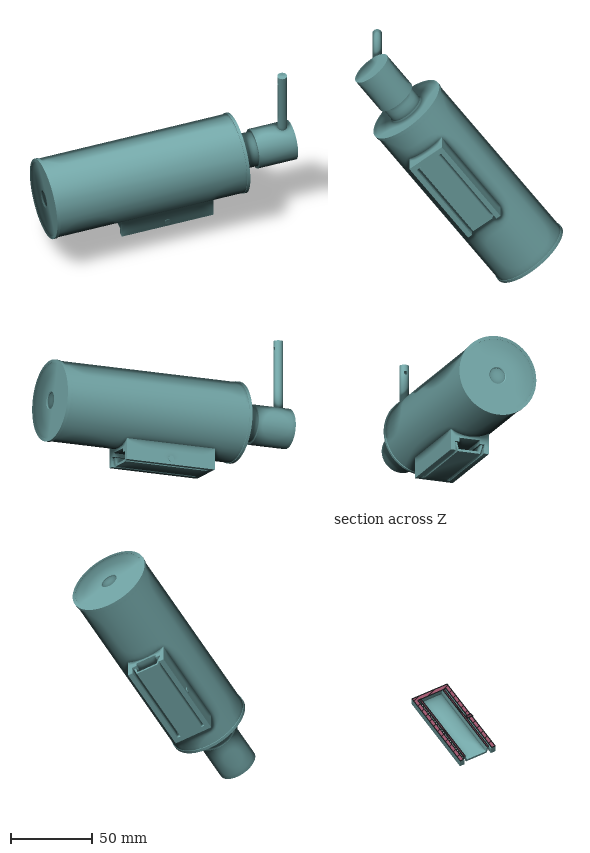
import cadquery as cq

TOTAL_LENGTH = 161.8
TUBE_DIAMETER = 50.0
CAP_DIAMETER = 51.0
CAP_THICKNESS = 2.0
BOTTLE_LENGTH = 126.0

RIM_WIDTH = 2.0
FACE_SINK = 0.2
DIMPLE_DIAMETER = 10.0
DIMPLE_DEPTH = 1.0
DIMPLE_CHAMFER = 0.5

NECK_DIAMETER = 21.8
FOOT_CHAMFER = 0.8
KNOB_DIAMETER = 25.1
KNOB_LENGTH = 25.1
LEVER_DIAMETER = 6.0
LEVER_TOP = 55.0
LEVER_SETBACK = 6.0
LEVER_SOCKET_DEPTH = 4.9
LEVER_HOLE_DIAMETER = 2.5
LEVER_HOLE_DROP = 5.2

BRACKET_WIDTH = 25.1
BRACKET_BOTTOM = -35.0
BRACKET_START = 46.6
BRACKET_LENGTH = 59.9
BRACKET_END_WALL = 3.2
CHANNEL_SHOULDER_WIDTH = 19.7
CHANNEL_MOUTH_WIDTH = 18.8
CHANNEL_SHOULDER_Z = BRACKET_BOTTOM + 5.8
CHANNEL_STEP_Z = BRACKET_BOTTOM + 3.9
SLOT_WIDTH = 13.5
SLOT_HEIGHT = 2.5

PLATE_SETBACK = 1.6
PLATE_TOP_WIDTH = 18.5
PLATE_BOTTOM_WIDTH = 14.5
TROUGH_TOP_WIDTH = 15.7
TROUGH_BOTTOM_WIDTH = SLOT_WIDTH
PLATE_FLOOR = 1.5

SCREW_DIAMETER = 3.7
SCREW_RISE = 3.5
SCREW_OVERHANG = 0.5

KNOB_START = TOTAL_LENGTH - KNOB_LENGTH
LEVER_Y = TOTAL_LENGTH - LEVER_SETBACK
LEVER_BOTTOM = KNOB_DIAMETER / 2 - LEVER_SOCKET_DEPTH
CHANNEL_LENGTH = BRACKET_LENGTH - BRACKET_END_WALL
PLATE_LENGTH = CHANNEL_LENGTH - PLATE_SETBACK


def y_cylinder(diameter, start, length):
    """Cylinder on the bottle axis that runs from start towards +Y."""
    plane = cq.Workplane("XZ", origin=(0, start, 0))
    return plane.circle(diameter / 2).extrude(-length)


def y_cone(start_diameter, end_diameter, start, length):
    """Truncated cone on the bottle axis that runs from start towards +Y."""
    solid = cq.Solid.makeCone(
        start_diameter / 2, end_diameter / 2, length, cq.Vector(0, start, 0), cq.Vector(0, 1, 0)
    )
    return cq.Workplane(obj=solid)


def y_prism(half_outline, start, length):
    """Prism along +Y; its outline mirrors a list of (half width, z) points."""
    mirrored = [(-x, z) for x, z in reversed(half_outline)]
    plane = cq.Workplane("XZ", origin=(0, start, 0))
    return plane.polyline(half_outline + mirrored).close().extrude(-length)


def make_tube():
    return y_cylinder(TUBE_DIAMETER, CAP_THICKNESS, BOTTLE_LENGTH - 2 * CAP_THICKNESS)


def make_front_cap():
    """Disc with a raised rim and a chamfered blind dimple in its middle."""
    cap = y_cylinder(CAP_DIAMETER, 0, CAP_THICKNESS)
    cap = cap.cut(y_cylinder(CAP_DIAMETER - 2 * RIM_WIDTH, 0, FACE_SINK))
    dimple = y_cylinder(DIMPLE_DIAMETER, FACE_SINK, DIMPLE_DEPTH)
    mouth = y_cone(DIMPLE_DIAMETER + 2 * DIMPLE_CHAMFER, DIMPLE_DIAMETER, FACE_SINK, DIMPLE_CHAMFER)
    return cap.cut(dimple).cut(mouth)


def make_rear_cap():
    """Rear cap with the pump neck, which has a conical foot."""
    neck_start = BOTTLE_LENGTH
    cap = y_cylinder(CAP_DIAMETER, neck_start - CAP_THICKNESS, CAP_THICKNESS)
    neck = y_cylinder(NECK_DIAMETER, neck_start, KNOB_START - neck_start)
    foot = y_cone(NECK_DIAMETER + 2 * FOOT_CHAMFER, NECK_DIAMETER, neck_start, FOOT_CHAMFER)
    return cap.union(neck).union(foot)


def make_lever():
    """Upright rod with a small blind cross hole that ends at the rod axis."""
    plane = cq.Workplane("XY", origin=(0, LEVER_Y, LEVER_BOTTOM))
    rod = plane.circle(LEVER_DIAMETER / 2).extrude(LEVER_TOP - LEVER_BOTTOM)
    hole_plane = cq.Workplane("XZ", origin=(0, LEVER_Y, LEVER_TOP - LEVER_HOLE_DROP))
    return rod.cut(hole_plane.circle(LEVER_HOLE_DIAMETER / 2).extrude(LEVER_DIAMETER))


def make_knob(lever):
    """Pump knob with a socket for the lever."""
    return y_cylinder(KNOB_DIAMETER, KNOB_START, KNOB_LENGTH).cut(lever)


def make_screw():
    start = CHANNEL_MOUTH_WIDTH / 2
    screw_y = BRACKET_START + BRACKET_LENGTH / 2
    plane = cq.Workplane("YZ", origin=(start, screw_y, BRACKET_BOTTOM + SCREW_RISE))
    return plane.circle(SCREW_DIAMETER / 2).extrude(BRACKET_WIDTH / 2 + SCREW_OVERHANG - start)


def make_bracket(tube, screw):
    """Block that cradles the tube, with a stepped channel and a screw hole."""
    block_outline = [(BRACKET_WIDTH / 2, BRACKET_BOTTOM), (BRACKET_WIDTH / 2, -TUBE_DIAMETER / 4)]
    channel_outline = [
        (CHANNEL_MOUTH_WIDTH / 2, BRACKET_BOTTOM),
        (CHANNEL_MOUTH_WIDTH / 2, CHANNEL_STEP_Z),
        (CHANNEL_SHOULDER_WIDTH / 2, CHANNEL_STEP_Z),
        (CHANNEL_SHOULDER_WIDTH / 2, CHANNEL_SHOULDER_Z),
        (SLOT_WIDTH / 2, CHANNEL_SHOULDER_Z),
        (SLOT_WIDTH / 2, CHANNEL_SHOULDER_Z + SLOT_HEIGHT),
    ]
    block = y_prism(block_outline, BRACKET_START, BRACKET_LENGTH)
    channel = y_prism(channel_outline, BRACKET_START, CHANNEL_LENGTH)
    return block.cut(tube).cut(channel).cut(screw)


def make_wall_plate():
    """Tapered trough, open at both ends, that rests against the channel shoulders."""
    start = BRACKET_START + PLATE_SETBACK
    body_outline = [(PLATE_BOTTOM_WIDTH / 2, BRACKET_BOTTOM), (PLATE_TOP_WIDTH / 2, CHANNEL_SHOULDER_Z)]
    trough_outline = [
        (TROUGH_BOTTOM_WIDTH / 2, BRACKET_BOTTOM + PLATE_FLOOR),
        (TROUGH_TOP_WIDTH / 2, CHANNEL_SHOULDER_Z),
    ]
    body = y_prism(body_outline, start, PLATE_LENGTH)
    return body.cut(y_prism(trough_outline, start, PLATE_LENGTH))


tube = make_tube()
front_cap = make_front_cap()
rear_cap = make_rear_cap()
lever = make_lever()
knob = make_knob(lever)
screw = make_screw()
bracket = make_bracket(tube, screw)
wall_plate = make_wall_plate()

bodies = [tube, front_cap, rear_cap, lever, knob, screw, bracket, wall_plate]
result = cq.Compound.makeCompound([body.val() for body in bodies])